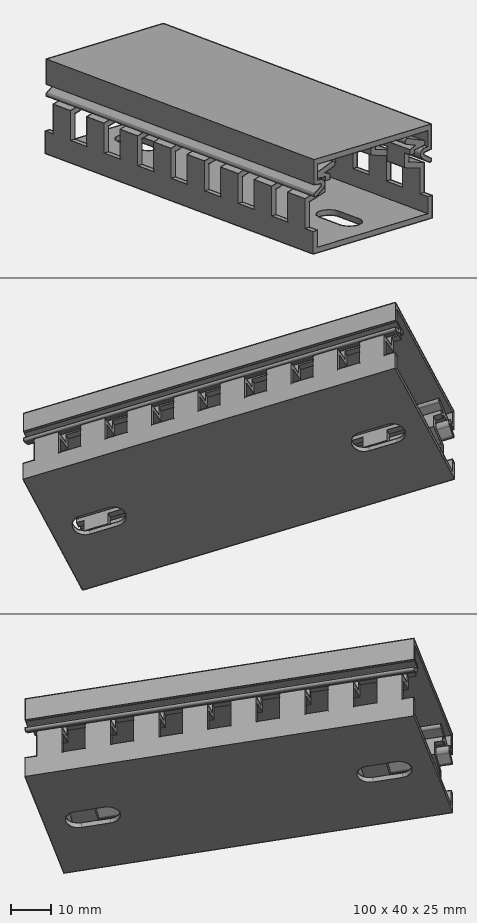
import cadquery as cq
import math

LENGTH = 100.0
HEIGHT = 25.0

DUCT_HALF_WIDTH = 20.0
DUCT_WALL = 1.5
SHOULDER_Z = 13.9
SHOULDER_ANGLE = 15.0
NECK_OUTER_Y = 14.9
NECK_LEAN_Z = 19.4

ARM_RADIUS = 0.75
ARM_SLOPE = 18.5
ARM_OUTER_Y = 17.7
ARM_OUTER_Z = 20.1
ARM_TIP_Y = 12.5
ARM_ROOT_Y = 15.2
CATCH_SLOPE = 7.0

OPENING_PITCH = 12.5
OPENING_WIDTH = 6.0
OPENING_BOTTOM_Z = 6.0
OPENING_TOP_Z = 18.0
RAIL_INSET = 1.0

SLOT_WIDTH = 6.5
SLOT_LENGTH = 14.0
SLOT_END_DISTANCE = OPENING_PITCH

LID_HALF_WIDTH = 19.7
LID_WALL = 1.2
LID_TOP = 1.5
LID_WALL_BOTTOM_Z = 18.3

LIP_RADIUS = 0.55
LIP_BEND_Y = 17.5
LIP_BEND_Z = 17.7
LIP_BEND_RADIUS = 0.9
LIP_LOW_SLOPE = 33.0
LIP_TIP_Y = 19.2


def extruded(outline):
    """Extrude a closed (y, z) outline along the full length."""
    return outline.close().extrude(LENGTH)


def both_sides(half):
    """Join a profile at +Y with its mirror image at -Y."""
    return half.union(half.mirror("XZ"))


def round_end(center_y, center_z, radius, angle):
    """Point on a circle in the (y, z) plane at an angle in radians from +Y."""
    return (center_y + radius * math.cos(angle), center_z + radius * math.sin(angle))


def duct_wall():
    """Side wall, shoulder, neck and snap arm as one bent profile."""
    inner_y = DUCT_HALF_WIDTH - DUCT_WALL
    neck_inner_y = NECK_OUTER_Y - DUCT_WALL
    shoulder = math.radians(SHOULDER_ANGLE)
    rise = math.tan(shoulder)
    outer_top_z = SHOULDER_Z + (DUCT_HALF_WIDTH - NECK_OUTER_Y) * rise
    inner_low_z = SHOULDER_Z + DUCT_WALL * rise - DUCT_WALL / math.cos(shoulder)
    inner_top_z = inner_low_z + (inner_y - neck_inner_y) * rise

    slope = math.radians(ARM_SLOPE)
    arm_tip_z = ARM_OUTER_Z + (ARM_OUTER_Y - ARM_TIP_Y) * math.tan(slope)
    arm_root_z = (
        ARM_OUTER_Z + (ARM_OUTER_Y - ARM_ROOT_Y) * math.tan(slope) - ARM_RADIUS / math.cos(slope)
    )
    square_up = math.pi / 2 - slope

    def outer_end(angle):
        return round_end(ARM_OUTER_Y, ARM_OUTER_Z, ARM_RADIUS, angle)

    def tip(angle):
        return round_end(ARM_TIP_Y, arm_tip_z, ARM_RADIUS, angle)

    catch = math.radians(CATCH_SLOPE)
    catch_y, catch_z = outer_end(catch - math.pi / 2)
    neck_top_z = catch_z - (catch_y - NECK_OUTER_Y) * math.tan(catch)

    return extruded(
        cq.Workplane("YZ")
        .moveTo(inner_y, 0)
        .lineTo(DUCT_HALF_WIDTH, 0)
        .lineTo(DUCT_HALF_WIDTH, SHOULDER_Z)
        .lineTo(NECK_OUTER_Y, outer_top_z)
        .lineTo(NECK_OUTER_Y, neck_top_z)
        .lineTo(catch_y, catch_z)
        .threePointArc(outer_end(0), outer_end(square_up))
        .lineTo(*tip(square_up))
        .threePointArc(tip(math.pi - slope), tip(square_up + math.pi))
        .lineTo(ARM_ROOT_Y, arm_root_z)
        .lineTo(neck_inner_y, NECK_LEAN_Z)
        .lineTo(neck_inner_y, inner_top_z)
        .lineTo(inner_y, inner_low_z)
    )


def wall_openings():
    """Openings through both walls; the first and last are cut in half by the ends."""
    height = OPENING_TOP_Z - OPENING_BOTTOM_Z
    count = round(LENGTH / OPENING_PITCH) + 1
    centers = [(i * OPENING_PITCH, 0) for i in range(count)]
    return (
        cq.Workplane("XY", origin=(0, 0, OPENING_BOTTOM_Z))
        .pushPoints(centers)
        .rect(OPENING_WIDTH, 2 * DUCT_HALF_WIDTH)
        .extrude(height)
    )


def rail_end_gaps():
    """Space at both ends where the rail above the openings is cut back."""
    return (
        cq.Workplane("XY", origin=(0, 0, OPENING_TOP_Z))
        .pushPoints([(0, 0), (LENGTH, 0)])
        .rect(2 * RAIL_INSET, 2 * DUCT_HALF_WIDTH)
        .extrude(HEIGHT - OPENING_TOP_Z)
    )


def mounting_slots():
    """One round-ended slot near each end of the floor."""
    return (
        cq.Workplane("XY")
        .pushPoints([(SLOT_END_DISTANCE, 0), (LENGTH - SLOT_END_DISTANCE, 0)])
        .slot2D(SLOT_LENGTH, SLOT_WIDTH)
        .extrude(DUCT_WALL)
    )


def make_duct():
    floor = cq.Workplane("XY").box(LENGTH, 2 * DUCT_HALF_WIDTH, DUCT_WALL, centered=(False, True, False))
    walls = both_sides(duct_wall()).cut(wall_openings()).cut(rail_end_gaps())
    return floor.cut(mounting_slots()).union(walls)


def lid_lip():
    """Lip that leaves the lid wall inward, bends back under itself and ends in a round tip."""
    top = math.radians(CATCH_SLOPE)
    low = math.radians(LIP_LOW_SLOPE)
    start_y = LID_HALF_WIDTH - LID_WALL / 2
    outer = LIP_BEND_RADIUS + LIP_RADIUS
    inner = LIP_BEND_RADIUS - LIP_RADIUS

    def upper(radius, y=None):
        """Point on the upper leg: the tangent point, or the point at a given y."""
        tangent_y = LIP_BEND_Y - radius * math.sin(top)
        tangent_z = LIP_BEND_Z + radius * math.cos(top)
        if y is None:
            return (tangent_y, tangent_z)
        return (y, tangent_z + (y - tangent_y) * math.tan(top))

    def lower(radius, along=0.0):
        """Point on the lower leg, a distance along it from the tangent point."""
        return (
            LIP_BEND_Y - radius * math.sin(low) + along * math.cos(low),
            LIP_BEND_Z - radius * math.cos(low) - along * math.sin(low),
        )

    leg = (LIP_TIP_Y - lower(LIP_BEND_RADIUS)[0]) / math.cos(low)
    return extruded(
        cq.Workplane("YZ")
        .moveTo(*upper(outer, start_y))
        .lineTo(*upper(outer))
        .threePointArc((LIP_BEND_Y - outer, LIP_BEND_Z), lower(outer))
        .lineTo(*lower(outer, leg))
        .threePointArc(lower(LIP_BEND_RADIUS, leg + LIP_RADIUS), lower(inner, leg))
        .lineTo(*lower(inner))
        .threePointArc((LIP_BEND_Y - inner, LIP_BEND_Z), upper(inner))
        .lineTo(*upper(inner, start_y))
    )


def lid_wall():
    return cq.Workplane("XY").box(
        LENGTH, LID_WALL, HEIGHT - LID_WALL_BOTTOM_Z, centered=(False, False, False)
    ).translate((0, LID_HALF_WIDTH - LID_WALL, LID_WALL_BOTTOM_Z))


def make_lid():
    top = cq.Workplane("XY", origin=(0, 0, HEIGHT - LID_TOP)).box(
        LENGTH, 2 * LID_HALF_WIDTH, LID_TOP, centered=(False, True, False)
    )
    return top.union(both_sides(lid_wall().union(lid_lip())))


duct = make_duct()
lid = make_lid()
result = cq.Compound.makeCompound([duct.solids().val(), lid.solids().val()])